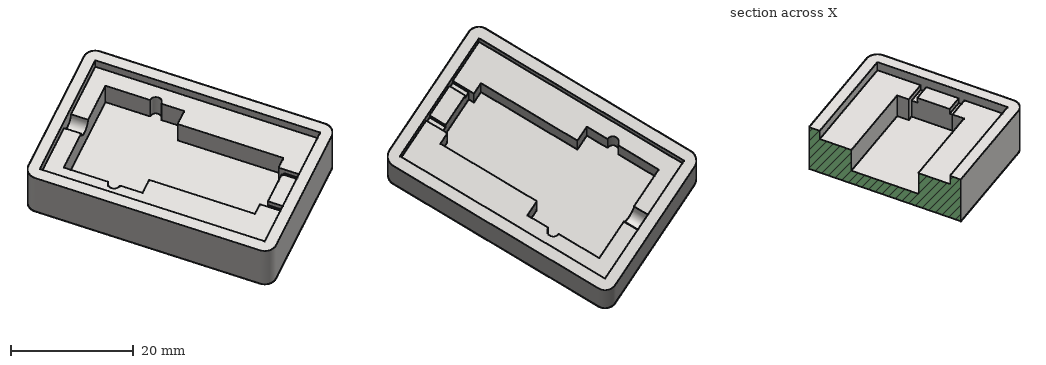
import cadquery as cq

length = 43.6
width = 28.15
height = 9.0
corner_radius = 2.0
wall = 2.0
rim_depth = 1.75

pocket_depth = 4.4
pocket_start = -length / 2 + 5.0
wide_length = 13.85
wide_width = 18.15
narrow_length = 18.6
narrow_width = 12.4
bump_radius = 1.0
bump_offset = 8.85

notch_length = 1.0
notch_width = 8.1
slot_width = 1.05
slot_depth = 1.0

groove_radius = 1.53

ledge_z = height - rim_depth
floor_z = ledge_z - pocket_depth
cavity_end = length / 2 - wall
wide_end = pocket_start + wide_length
narrow_end = wide_end + narrow_length


def box_cut(x_start, x_end, y_size, z_bottom, y_center=0):
    """Cutting box from z_bottom up to the rim top."""
    return (
        cq.Workplane("XY", origin=((x_start + x_end) / 2, y_center, z_bottom))
        .rect(x_end - x_start, y_size)
        .extrude(height - z_bottom)
    )


def pocket():
    """Wide and narrow pocket stretches, end notch and round reliefs."""
    cut = box_cut(pocket_start, wide_end, wide_width, floor_z)
    cut = cut.union(box_cut(wide_end, narrow_end, narrow_width, floor_z))
    cut = cut.union(box_cut(narrow_end, narrow_end + notch_length, notch_width, floor_z))
    reliefs = (
        cq.Workplane("XY", origin=(pocket_start + bump_offset, 0, floor_z))
        .pushPoints([(0, wide_width / 2), (0, -wide_width / 2)])
        .circle(bump_radius)
        .extrude(height - floor_z)
    )
    return cut.union(reliefs)


def groove():
    """Half-round channel in the ledge from the -X wall to the pocket."""
    return (
        cq.Workplane("YZ", origin=(-cavity_end, 0, ledge_z))
        .circle(groove_radius)
        .extrude(pocket_start + cavity_end)
    )


tray = (
    cq.Workplane("XY")
    .rect(length, width)
    .extrude(height)
    .edges("|Z")
    .fillet(corner_radius)
)
tray = tray.cut(box_cut(-cavity_end, cavity_end, width - 2 * wall, ledge_z))
tray = tray.cut(pocket())
tray = tray.cut(groove())

slot_center = (notch_width - slot_width) / 2
for side in (-1, 1):
    tray = tray.cut(box_cut(narrow_end, cavity_end, slot_width, ledge_z - slot_depth, side * slot_center))

result = tray